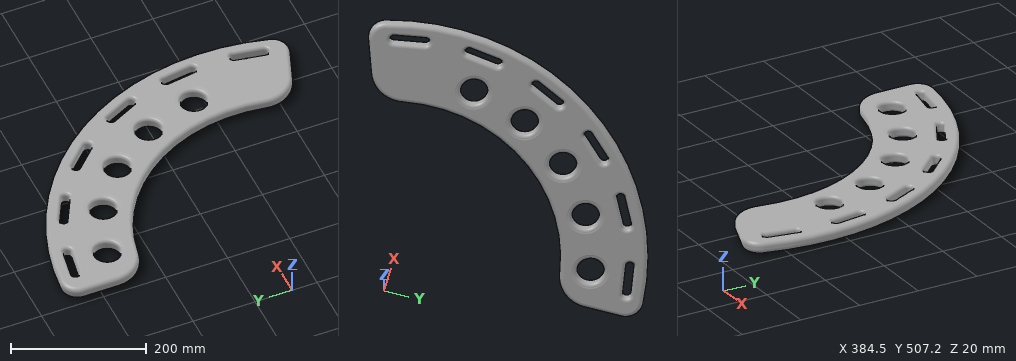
import cadquery as cq
import math

thickness = 20.0
outer_radius = 384.5
inner_radius = 255.0
start_angle = -20.0
end_angle = 90.0
outer_corner_radius = 26.5
inner_corner_radius = 50.0
rim_fillet = 7.5

length_x = outer_radius
length_y = 507.5
outer_corner_reach = math.sqrt((outer_radius - outer_corner_radius) ** 2 - outer_corner_radius ** 2)
center_x = -length_x / 2
center_y = length_y / 2 - outer_corner_reach - outer_corner_radius

hole_count = 5
hole_diameter = 40.0
hole_mouth_diameter = 52.0
countersink_diameter = 56.0
countersink_depth = 0.5
hole_circle_radius = 300.5
hole_first_angle = 9.7
hole_pitch_angle = 17.2

slot_count = 6
slot_width = 12.0
slot_straight_length = 46.0
slot_fillet = 6.0
slot_circle_radius = 357.0
slot_first_angle = -10.2
slot_pitch_angle = 18.1
slot_margin = 0.5


def polar(radius, angle):
    """Point at a radius and an angle in degrees about the arc center."""
    radians = math.radians(angle)
    return (center_x + radius * math.cos(radians), center_y + radius * math.sin(radians))


def curved_plate():
    """Band with rounded corners, before its rim is rounded."""
    middle_angle = (start_angle + end_angle) / 2
    band = (
        cq.Workplane("XY", origin=(0, 0, -thickness / 2))
        .moveTo(*polar(inner_radius, start_angle))
        .lineTo(*polar(outer_radius, start_angle))
        .threePointArc(polar(outer_radius, middle_angle), polar(outer_radius, end_angle))
        .lineTo(*polar(inner_radius, end_angle))
        .threePointArc(polar(inner_radius, middle_angle), polar(inner_radius, start_angle))
        .close()
        .extrude(thickness)
    )
    outer_corners = [polar(outer_radius, angle) for angle in (start_angle, end_angle)]
    inner_corners = [polar(inner_radius, angle) for angle in (start_angle, end_angle)]
    for corners, radius in ((outer_corners, outer_corner_radius), (inner_corners, inner_corner_radius)):
        for x, y in corners:
            band = band.edges(cq.selectors.NearestToPointSelector((x, y, 0))).fillet(radius)
    return band


def at_angles(first_angle, pitch_angle, count):
    """Evenly pitched angles in degrees."""
    return [first_angle + index * pitch_angle for index in range(count)]


def cut_round_hole(body, angle):
    """Through hole on the hole circle, with the same mouth on both faces."""
    hole_radius = hole_diameter / 2
    mouth_radius = hole_mouth_diameter / 2
    face_height = thickness / 2
    mouth_height = face_height - countersink_depth
    round_radius = mouth_radius - hole_radius
    arc_middle_x = mouth_radius - round_radius * math.sin(math.pi / 4)
    arc_middle_z = mouth_height - round_radius * (1 - math.cos(math.pi / 4))
    wall_height = mouth_height - round_radius
    cutter = (
        cq.Workplane("XZ")
        .moveTo(0, -face_height)
        .lineTo(countersink_diameter / 2, -face_height)
        .lineTo(mouth_radius, -mouth_height)
        .threePointArc((arc_middle_x, -arc_middle_z), (hole_radius, -wall_height))
        .lineTo(hole_radius, wall_height)
        .threePointArc((arc_middle_x, arc_middle_z), (mouth_radius, mouth_height))
        .lineTo(countersink_diameter / 2, face_height)
        .lineTo(0, face_height)
        .close()
        .revolve(360, (0, 0), (0, 1))
    )
    x, y = polar(hole_circle_radius, angle)
    return body.cut(cutter.translate((x, y, 0)))


def cut_slot(body, angle):
    """Through slot on the slot circle, lying square to the radius, rounded on both faces."""
    x, y = polar(slot_circle_radius, angle)
    cutter = (
        cq.Workplane("XY")
        .center(x, y)
        .slot2D(slot_straight_length + slot_width, slot_width, angle + 90)
        .extrude(thickness, both=True)
    )
    box = cutter.val().BoundingBox()
    mouths = cq.selectors.BoxSelector(
        (box.xmin - slot_margin, box.ymin - slot_margin, -thickness),
        (box.xmax + slot_margin, box.ymax + slot_margin, thickness),
        boundingbox=True,
    )
    return body.cut(cutter).faces("|Z").edges(mouths).fillet(slot_fillet)


result = curved_plate().faces("|Z").edges().fillet(rim_fillet)
for hole_angle in at_angles(hole_first_angle, hole_pitch_angle, hole_count):
    result = cut_round_hole(result, hole_angle)
for slot_angle in at_angles(slot_first_angle, slot_pitch_angle, slot_count):
    result = cut_slot(result, slot_angle)